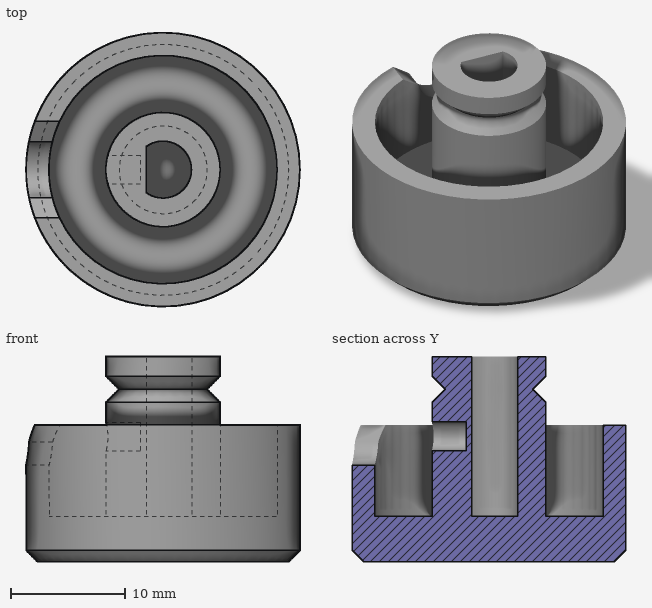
import cadquery as cq
import math

cup_diameter = 24.0
cup_height = 12.0
cup_bore_diameter = 20.0
floor_thickness = 4.0
base_chamfer = 1.0

hub_diameter = 10.0
total_height = 18.0
groove_top_offset = 1.73
groove_depth = 1.15
groove_center_z = total_height - groove_top_offset - groove_depth

socket_diameter = 5.0
socket_flat_offset = 1.5
socket_floor_z = floor_thickness

screw_diameter = 2.5
screw_depth = 3.0
screw_z = 11.0
notch_radius = 2.5
notch_flare_half_width = 4.22
notch_shoulder_half_width = 2.45


def make_cup():
    outer = cq.Workplane("XY").circle(cup_diameter / 2).extrude(cup_height)
    outer = outer.faces("<Z").chamfer(base_chamfer)
    cavity = (
        cq.Workplane("XY", origin=(0, 0, floor_thickness))
        .circle(cup_bore_diameter / 2)
        .extrude(cup_height)
    )
    return outer.cut(cavity)


def make_hub():
    """Revolve the hub profile, with its V-shaped groove, about Z."""
    hub_radius = hub_diameter / 2
    profile = [
        (0, 0),
        (hub_radius, 0),
        (hub_radius, groove_center_z - groove_depth),
        (hub_radius - groove_depth, groove_center_z),
        (hub_radius, groove_center_z + groove_depth),
        (hub_radius, total_height),
        (0, total_height),
    ]
    return cq.Workplane("XZ").polyline(profile).close().revolve(360, (0, 0), (0, 1))


def make_socket():
    socket_height = total_height - socket_floor_z
    base = cq.Workplane("XY", origin=(0, 0, socket_floor_z))
    bore = base.circle(socket_diameter / 2).extrude(socket_height)
    flat_center_x = -socket_flat_offset - socket_diameter / 2
    flat_side = (
        base.center(flat_center_x, 0)
        .rect(socket_diameter, socket_diameter)
        .extrude(socket_height)
    )
    return bore.cut(flat_side)


def make_screw_hole():
    """Blind radial hole from the -X side of the hub, ending short of the socket."""
    return (
        cq.Workplane("YZ", origin=(-hub_diameter / 2, 0, screw_z))
        .circle(screw_diameter / 2)
        .extrude(screw_depth)
    )


def make_notch():
    """Round-bottomed notch that flares out to the rim on the -X side."""
    shoulder_drop = math.sqrt(notch_radius**2 - notch_shoulder_half_width**2)
    shoulder_z = screw_z - shoulder_drop
    return (
        cq.Workplane("YZ", origin=(-cup_diameter / 2, 0, 0))
        .moveTo(-notch_flare_half_width, cup_height)
        .lineTo(-notch_shoulder_half_width, shoulder_z)
        .threePointArc(
            (0, screw_z - notch_radius), (notch_shoulder_half_width, shoulder_z)
        )
        .lineTo(notch_flare_half_width, cup_height)
        .close()
        .extrude((cup_diameter - hub_diameter) / 2)
    )


cup = make_cup().cut(make_notch())
result = cup.union(make_hub()).cut(make_socket()).cut(make_screw_hole())